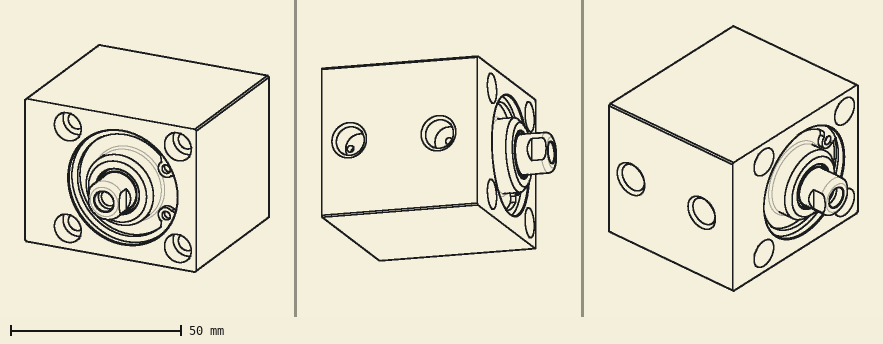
import cadquery as cq
import math


BLOCK_X = 56.0
BLOCK_Z = 45.0
TOTAL_Y = 60.5
ROD_REACH = 12.5
BLOCK_Y = TOTAL_Y - ROD_REACH
EDGE_CHAMFER = 0.5

AXIS_X = 4.0

BOLT_SPACING_X = 36.0
BOLT_SPACING_Z = 32.0
BOLT_DIAMETER = 5.3
BOLT_HEAD_DIAMETER = 8.8
BOLT_HEAD_DEPTH = 5.7

PORT_DIAMETER = 8.6
PORT_DEPTH = 10.0
PORT_CHAMFER = 1.0
PORT_SPACING = 27.45
REAR_PORT_Y = BLOCK_Y - 8.55
FRONT_PORT_Y = REAR_PORT_Y - PORT_SPACING
PASSAGE_DIAMETER = 2.0
PASSAGE_DEPTH = 3.6
REAR_PASSAGE_OFFSET = 2.85

BORE_DIAMETER = 35.5
BORE_CHAMFER = 0.25
GLAND_FACE_Y = 3.75
GLAND_LENGTH = 7.15
GLAND_REAR_Y = GLAND_FACE_Y + GLAND_LENGTH
GROOVE_DIAMETER = 37.3
RING_THICKNESS = 1.6
RING_FRONT_Y = GLAND_FACE_Y - RING_THICKNESS

COLLAR_DIAMETER = 22.0
COLLAR_FRONT_Y = -3.5
COLLAR_CHAMFER = 1.5
COLLAR_FILLET = 0.7

MOUTH_DIAMETER = 14.0
MOUTH_DEPTH = 1.0
MOUTH_CHAMFER = 0.2
LIP_BASE_DIAMETER = 13.7
LIP_TIP_DIAMETER = 12.5
LIP_SETBACK = 0.2

RING_INNER_DIAMETER = 31.8
EAR_X = 13.05
EAR_Z = 7.3
EAR_RADIUS = 2.55
EAR_HOLE_DIAMETER = 2.65
NECK_X = 11.25
NECK_HOLLOW = 0.25
END_ANGLE = 27.0

ROD_DIAMETER = 12.0
ROD_FILLET = 1.45
ROD_FRONT_Y = -ROD_REACH
FLAT_WIDTH = 10.0
FLAT_LENGTH = 4.55

ROD_BORE_DIAMETER = 4.9
ROD_BORE_DEPTH = 10.9
RELIEF_DIAMETER = 6.25
RELIEF_DEPTH = 2.65
RELIEF_CHAMFER = 0.2


def cylinder(diameter, y_start, y_end, x=AXIS_X, z=0.0):
    """Round bar along Y from y_start to y_end."""
    start = cq.Workplane("XZ", origin=(x, y_start, z))
    return start.circle(diameter / 2).extrude(y_start - y_end)


def cone(start_diameter, y_start, end_diameter, y_end):
    """Cone frustum on the cylinder axis."""
    half_section = [
        (0, y_start),
        (start_diameter / 2, y_start),
        (end_diameter / 2, y_end),
        (0, y_end),
    ]
    solid = cq.Workplane("XY").polyline(half_section).close().revolve(360, (0, 0, 0), (0, 1, 0))
    return solid.translate((AXIS_X, 0, 0))


def mouth_chamfer(diameter, y_front, size):
    """Cutter for a 45 degree chamfer at the front edge of a hole on the cylinder axis."""
    return cone(diameter + 2 * size, y_front, diameter, y_front + size)



def bolt_hole(x, z):
    """Cutter for one counterbored hole through the block."""
    return cylinder(BOLT_DIAMETER, 0, BLOCK_Y, x, z).union(
        cylinder(BOLT_HEAD_DIAMETER, 0, BOLT_HEAD_DEPTH, x, z)
    )


def oil_port(y, passage_offset):
    """Cutter for one chamfered port with a small oil passage in its floor."""
    side = cq.Workplane("YZ", origin=(-BLOCK_X / 2, y, 0))
    port = side.circle(PORT_DIAMETER / 2).extrude(PORT_DEPTH)
    mouth = side.circle(PORT_DIAMETER / 2 + PORT_CHAMFER).extrude(PORT_CHAMFER, taper=45)
    passage_length = PORT_DEPTH + PASSAGE_DEPTH
    passage = side.center(passage_offset, 0).circle(PASSAGE_DIAMETER / 2).extrude(passage_length)
    return port.union(mouth).union(passage)


def make_housing():
    block = cq.Workplane("XY").box(BLOCK_X, BLOCK_Y, BLOCK_Z).translate((0, BLOCK_Y / 2, 0))
    block = block.edges("|Y").chamfer(EDGE_CHAMFER)
    for x_side in (-1, 1):
        for z_side in (-1, 1):
            x = AXIS_X + x_side * BOLT_SPACING_X / 2
            z = z_side * BOLT_SPACING_Z / 2
            block = block.cut(bolt_hole(x, z))
    block = block.cut(oil_port(REAR_PORT_Y, REAR_PASSAGE_OFFSET))
    block = block.cut(oil_port(FRONT_PORT_Y, 0))
    block = block.cut(cylinder(BORE_DIAMETER, 0, GLAND_REAR_Y))
    block = block.cut(mouth_chamfer(BORE_DIAMETER, 0, BORE_CHAMFER))
    return block.cut(cylinder(GROOVE_DIAMETER, RING_FRONT_Y, GLAND_FACE_Y))



def ring_plane():
    return cq.Workplane("XZ", origin=(AXIS_X, RING_FRONT_Y, 0))


def ring_ear(side):
    """Rounded ear and its neck; side is 1 for the upper end and -1 for the lower end."""
    outer = GROOVE_DIAMETER / 2
    neck_top_z = math.sqrt((RING_INNER_DIAMETER / 2) ** 2 - NECK_X**2)
    neck_middle_z = (EAR_Z + neck_top_z) / 2
    neck = (
        ring_plane()
        .moveTo(NECK_X, side * EAR_Z)
        .threePointArc((NECK_X + NECK_HOLLOW, side * neck_middle_z), (NECK_X, side * neck_top_z))
        .lineTo(outer, side * neck_top_z)
        .lineTo(outer, side * EAR_Z)
        .close()
        .extrude(-RING_THICKNESS)
    )
    ear = cylinder(2 * EAR_RADIUS, RING_FRONT_Y, GLAND_FACE_Y, AXIS_X + EAR_X, side * EAR_Z)
    return neck.union(ear)


def ring_gap():
    """Cutter for the opening between the ring ends, whose straight edges are tangent to the ears."""
    angle = math.radians(END_ANGLE)
    tangent_x = EAR_X + EAR_RADIUS * math.sin(angle)
    tangent_z = EAR_Z - EAR_RADIUS * math.cos(angle)
    outer_x = GROOVE_DIAMETER / 2
    outer_z = tangent_z + (outer_x - tangent_x) * math.tan(angle)
    corners = [
        (tangent_x, tangent_z),
        (outer_x, outer_z),
        (outer_x, -outer_z),
        (tangent_x, -tangent_z),
    ]
    return ring_plane().polyline(corners).close().extrude(-RING_THICKNESS)


def retaining_ring():
    disc = cylinder(GROOVE_DIAMETER, RING_FRONT_Y, GLAND_FACE_Y)
    ring = disc.cut(cylinder(RING_INNER_DIAMETER, RING_FRONT_Y, GLAND_FACE_Y))
    for side in (1, -1):
        ring = ring.union(ring_ear(side))
    ring = ring.cut(ring_gap()).intersect(disc)
    for side in (1, -1):
        x = AXIS_X + EAR_X
        ring = ring.cut(cylinder(EAR_HOLE_DIAMETER, RING_FRONT_Y, GLAND_FACE_Y, x, side * EAR_Z))
    return ring


def wiper_recess():
    """Cutter for the ring-shaped recess that leaves a conical wiper lip around the rod."""
    floor_y = COLLAR_FRONT_Y + MOUTH_DEPTH
    lip = cone(LIP_TIP_DIAMETER, COLLAR_FRONT_Y + LIP_SETBACK, LIP_BASE_DIAMETER, floor_y)
    recess = cylinder(MOUTH_DIAMETER, COLLAR_FRONT_Y, floor_y).cut(lip)
    return recess.union(mouth_chamfer(MOUTH_DIAMETER, COLLAR_FRONT_Y, MOUTH_CHAMFER).cut(lip))


def gland_profile():
    """Half section of the gland: a disc with a chamfered collar and a filleted collar root."""
    collar_radius = COLLAR_DIAMETER / 2
    root_turn = COLLAR_FILLET * (1 - math.sqrt(0.5))
    return (
        cq.Workplane("XY")
        .moveTo(ROD_DIAMETER / 2, COLLAR_FRONT_Y)
        .lineTo(collar_radius - COLLAR_CHAMFER, COLLAR_FRONT_Y)
        .lineTo(collar_radius, COLLAR_FRONT_Y + COLLAR_CHAMFER)
        .lineTo(collar_radius, GLAND_FACE_Y - COLLAR_FILLET)
        .threePointArc(
            (collar_radius + root_turn, GLAND_FACE_Y - root_turn),
            (collar_radius + COLLAR_FILLET, GLAND_FACE_Y),
        )
        .lineTo(BORE_DIAMETER / 2, GLAND_FACE_Y)
        .lineTo(BORE_DIAMETER / 2, GLAND_REAR_Y)
        .lineTo(ROD_DIAMETER / 2, GLAND_REAR_Y)
        .close()
    )


def make_gland():
    """Gland and the retaining ring on its face, built as one body."""
    gland = gland_profile().revolve(360, (0, 0, 0), (0, 1, 0)).translate((AXIS_X, 0, 0))
    return gland.cut(wiper_recess()).union(retaining_ring())



def rod_flat(side):
    """Cutter for one wrench flat that ends in a 45 degree slope."""
    flat_x = side * FLAT_WIDTH / 2
    outside_x = side * ROD_DIAMETER / 2
    flat_end_y = ROD_FRONT_Y + FLAT_LENGTH
    slope_end_y = flat_end_y + (ROD_DIAMETER - FLAT_WIDTH) / 2
    corners = [
        (flat_x, ROD_FRONT_Y),
        (flat_x, flat_end_y),
        (outside_x, slope_end_y),
        (outside_x, ROD_FRONT_Y),
    ]
    cutter = cq.Workplane("XY").polyline(corners).close().extrude(ROD_DIAMETER / 2, both=True)
    return cutter.translate((AXIS_X, 0, 0))


def rod_end_bore():
    """Cutter for the stepped bore: chamfer, relief, conical step and core hole."""
    relief_y = ROD_FRONT_Y + RELIEF_DEPTH
    step = (RELIEF_DIAMETER - ROD_BORE_DIAMETER) / 2
    core = cylinder(ROD_BORE_DIAMETER, ROD_FRONT_Y, ROD_FRONT_Y + ROD_BORE_DEPTH)
    relief = cylinder(RELIEF_DIAMETER, ROD_FRONT_Y, relief_y)
    conical_step = cone(RELIEF_DIAMETER, relief_y, ROD_BORE_DIAMETER, relief_y + step)
    chamfer = mouth_chamfer(RELIEF_DIAMETER, ROD_FRONT_Y, RELIEF_CHAMFER)
    return core.union(relief).union(conical_step).union(chamfer)


def make_rod():
    rod = cylinder(ROD_DIAMETER, ROD_FRONT_Y, GLAND_REAR_Y)
    rod = rod.faces("<Y").edges().fillet(ROD_FILLET)
    for side in (1, -1):
        rod = rod.cut(rod_flat(side))
    return rod.cut(rod_end_bore())


housing = make_housing()
gland = make_gland()
rod = make_rod()

result = cq.Compound.makeCompound([body.solids().val() for body in (housing, gland, rod)])